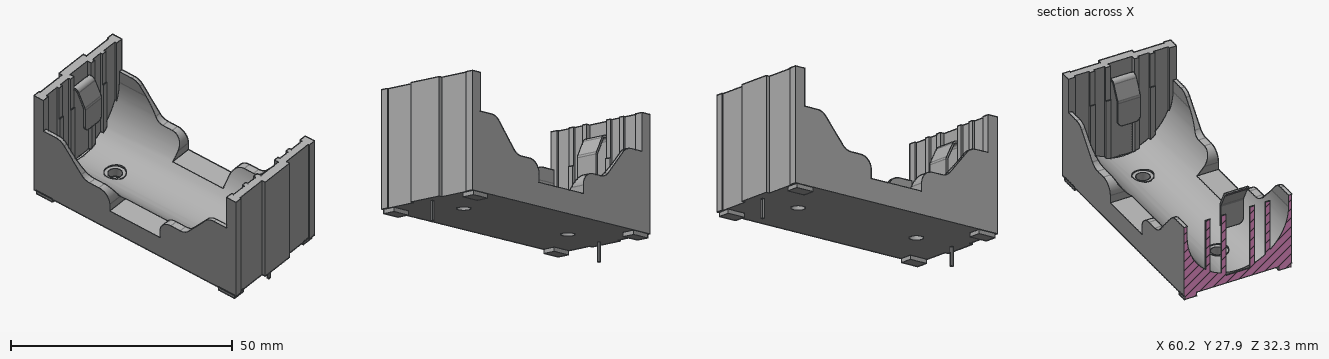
import cadquery as cq
import math


housing_width = 27.94
housing_height = 27.7
end_boss_x = 30.1
corner_post_x = 29.5
end_wall_x = 29.18
corner_post_y = 12.1
end_boss_half_width = 4.32

cradle_radius = 13.03
cradle_axis_z = 15.55
cavity_post_x = 26.74
cavity_wall_x = 27.3
rib_face_x = 26.52
rib_near_y = 7.1
rib_far_y = 8.35
recess_back_x = 27.87
recess_half_width = 3.05
recess_floor_z = 2.2

shelf_z = 18.7
step_z = 10.67
notch_z = 5.55
notch_half_length = 7.32
outline_radius = 3.175
step_end_x = 13.23
shelf_start_x = 23.05

hole_x = 17.26
hole_radius = 1.65
counterbore_radius = 2.54
counterbore_depth = 0.2

foot_length = 4.75
foot_width = 3.175
foot_height = 1.0
foot_end_x = 28.95
foot_side_gap = 0.2

sheet = 0.5
contact_half_width = 2.9
contact_top_z = 24.15
hook_radius = 1.27
spring_lean = math.radians(26.5)
tab_x = 23.55
bend_radius = 1.27
tab_bottom_z = 13.0
tab_corner_radius = 1.3
pin_width = 0.6
overall_height = 32.26
pin_length = overall_height - housing_height

cradle_floor_z = cradle_axis_z - cradle_radius
half_width = housing_width / 2


def block(x_half, y_half, height=housing_height):
    """Box centred on the Z axis, standing on Z = 0."""
    return cq.Workplane("XY").box(2 * x_half, 2 * y_half, height, centered=(True, True, False))


def box_between(x0, x1, y0, y1, z0, z1):
    return cq.Workplane("XY").box(x1 - x0, y1 - y0, z1 - z0, centered=False).translate((x0, y0, z0))


def point_on(center, radius, angle):
    return (center[0] + radius * math.cos(angle), center[1] + radius * math.sin(angle))


def outer_block():
    """Plan outline with corner posts and end pads, carried over the full height."""
    posts = block(corner_post_x, half_width)
    for side in (-1, 1):
        groove = block((corner_post_x - end_wall_x) / 2, corner_post_y)
        posts = posts.cut(groove.translate((side * (corner_post_x + end_wall_x) / 2, 0, 0)))
    return posts.union(block(end_boss_x, end_boss_half_width))


def cell_cavity():
    """Round-bottomed trough, its ends shaped by corner posts and upright ribs."""
    trough = (
        cq.Workplane("YZ")
        .moveTo(-cradle_radius, housing_height)
        .lineTo(-cradle_radius, cradle_axis_z)
        .threePointArc((0, cradle_floor_z), (cradle_radius, cradle_axis_z))
        .lineTo(cradle_radius, housing_height)
        .close()
        .extrude(cavity_wall_x, both=True)
    )
    plan = block(cavity_post_x, cradle_radius).union(block(cavity_wall_x, corner_post_y))
    rib_bands = (
        (-rib_far_y, -rib_near_y),
        (-end_boss_half_width, end_boss_half_width),
        (rib_near_y, rib_far_y),
    )
    for near, far in rib_bands:
        for x0, x1 in ((-cavity_wall_x, -rib_face_x), (rib_face_x, cavity_wall_x)):
            plan = plan.cut(box_between(x0, x1, near, far, 0, housing_height))
    return trough.intersect(plan)


def contact_recesses():
    """Flat-floored pocket in the middle of each end wall, open to the top."""
    pocket = box_between(
        rib_face_x, recess_back_x,
        -recess_half_width, recess_half_width,
        recess_floor_z, housing_height,
    )
    return pocket.union(pocket.mirror("YZ"))


def side_wall_opening():
    """Cutter for the stepped and rounded upper edge of both long walls."""
    rise = shelf_z - step_z
    run = shelf_start_x - step_end_x
    center_rise = rise - 2 * outline_radius
    center_distance = math.hypot(run, center_rise)
    slope = math.atan2(center_rise, run) + math.asin(2 * outline_radius / center_distance)
    lower_center = (step_end_x, step_z + outline_radius)
    upper_center = (shelf_start_x, shelf_z - outline_radius)
    notch_center = (notch_half_length + outline_radius, step_z - outline_radius)
    up = math.pi / 2
    down = -math.pi / 2

    half = (
        cq.Workplane("XZ")
        .moveTo(0, housing_height)
        .lineTo(0, notch_z)
        .lineTo(notch_half_length, notch_z)
        .lineTo(notch_half_length, notch_center[1])
        .threePointArc(
            point_on(notch_center, outline_radius, 0.75 * math.pi),
            point_on(notch_center, outline_radius, up),
        )
        .lineTo(step_end_x, step_z)
        .threePointArc(
            point_on(lower_center, outline_radius, down + slope / 2),
            point_on(lower_center, outline_radius, down + slope),
        )
        .lineTo(*point_on(upper_center, outline_radius, up + slope))
        .threePointArc(
            point_on(upper_center, outline_radius, up + slope / 2),
            point_on(upper_center, outline_radius, up),
        )
        .lineTo(cavity_post_x, shelf_z)
        .lineTo(cavity_post_x, housing_height)
        .close()
        .extrude(half_width, both=True)
    )
    return half.union(half.mirror("YZ"))


def mounting_holes():
    """Two through holes, each with a shallow counterbore in the cradle floor."""
    centers = [(-hole_x, 0), (hole_x, 0)]
    counterbore_z = cradle_floor_z - counterbore_depth
    holes = cq.Workplane("XY").pushPoints(centers).circle(hole_radius).extrude(housing_height)
    counterbores = (
        cq.Workplane("XY", origin=(0, 0, counterbore_z))
        .pushPoints(centers)
        .circle(counterbore_radius)
        .extrude(cradle_axis_z - counterbore_z)
    )
    return holes.union(counterbores)


def feet():
    """Four low standoffs under the corners."""
    foot_x = foot_end_x - foot_length / 2
    foot_y = half_width - foot_side_gap - foot_width / 2
    return (
        cq.Workplane("XY")
        .rect(2 * foot_x, 2 * foot_y, forConstruction=True)
        .vertices()
        .rect(foot_length, foot_width)
        .extrude(-foot_height)
    )


def contact_strip():
    """Leg from the pocket floor up its back wall, hook over the top, slope down to an upright tab."""
    hook_center = (recess_back_x - hook_radius, contact_top_z - hook_radius)
    bend_x = tab_x + bend_radius
    lean_sin = math.sin(spring_lean)
    lean_cos = math.cos(spring_lean)
    bend_drop = (lean_cos * (hook_center[0] - bend_x) - (hook_radius - bend_radius)) / lean_sin
    bend_center = (bend_x, hook_center[1] - bend_drop)
    slope_angle = math.pi - spring_lean
    hook_middle = slope_angle / 2
    bend_middle = math.pi - spring_lean / 2
    inner_hook = hook_radius - sheet
    inner_bend = bend_radius - sheet

    strip = (
        cq.Workplane("XZ")
        .moveTo(recess_back_x, recess_floor_z)
        .lineTo(recess_back_x, hook_center[1])
        .threePointArc(
            point_on(hook_center, hook_radius, hook_middle),
            point_on(hook_center, hook_radius, slope_angle),
        )
        .lineTo(*point_on(bend_center, bend_radius, slope_angle))
        .threePointArc(
            point_on(bend_center, bend_radius, bend_middle),
            point_on(bend_center, bend_radius, math.pi),
        )
        .lineTo(tab_x, tab_bottom_z)
        .lineTo(tab_x + sheet, tab_bottom_z)
        .lineTo(tab_x + sheet, bend_center[1])
        .threePointArc(
            point_on(bend_center, inner_bend, bend_middle),
            point_on(bend_center, inner_bend, slope_angle),
        )
        .lineTo(*point_on(hook_center, inner_hook, slope_angle))
        .threePointArc(
            point_on(hook_center, inner_hook, hook_middle),
            (recess_back_x - sheet, hook_center[1]),
        )
        .lineTo(recess_back_x - sheet, recess_floor_z)
        .close()
        .extrude(contact_half_width, both=True)
    )
    return strip.edges("|X").edges("<X").fillet(tab_corner_radius)


def solder_pin():
    """Square-ended pin that carries the leg down through the housing floor."""
    return box_between(
        recess_back_x - sheet, recess_back_x,
        -pin_width / 2, pin_width / 2,
        -pin_length, recess_floor_z,
    )


right_contact = contact_strip().union(solder_pin())
contacts = [right_contact, right_contact.mirror("YZ")]

housing = (
    outer_block()
    .cut(cell_cavity())
    .cut(contact_recesses())
    .cut(side_wall_opening())
    .cut(mounting_holes())
    .union(feet())
)
pin_hole = solder_pin()
housing = housing.cut(pin_hole).cut(pin_hole.mirror("YZ"))

result = cq.Compound.makeCompound([housing.val(), *[contact.val() for contact in contacts]])